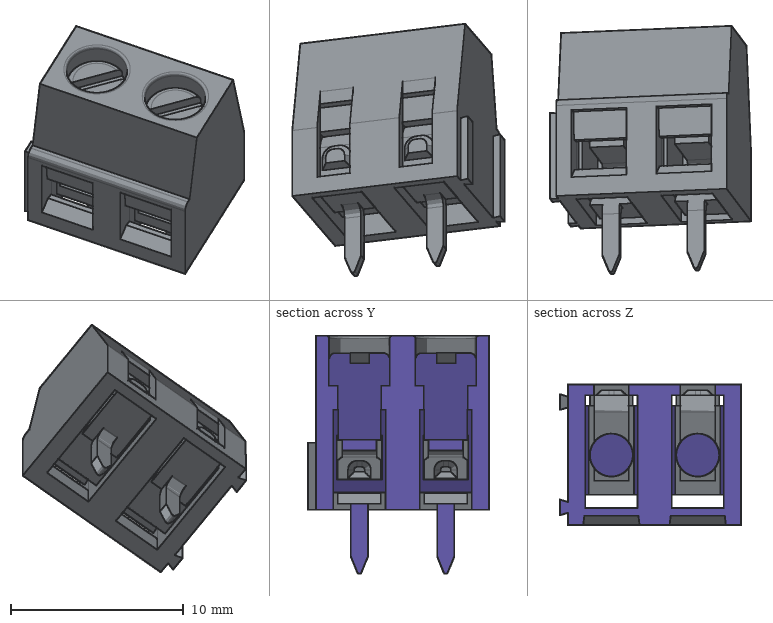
import cadquery as cq
import math


pitch = 5.0
pole_count = 2
end_margin = 0.015
body_length = pitch * pole_count + 2 * end_margin
front_y = -4.05
back_y = 4.09
body_height = 10.1
top_back_y = 2.57
top_front_y = -2.43
back_slope_z = 4.1
shoulder_z = 5.8
shoulder_y = -3.42
shoulder_radius = 0.4
pole_positions = [(index - (pole_count - 1) / 2) * pitch for index in range(pole_count)]

rail_depth = 0.47
rail_outer_width = 0.92
rail_inner_width = 0.64
rail_edge_distance = 1.02
front_rail_height = 5.1
back_rail_height = 3.9

entry_width = 3.25
entry_bottom_z = 1.08
entry_top_z = 5.08
entry_depth = 1.0
sill_z = 1.68
sill_slope_depth = 0.66
lintel_bottom_z = 3.43
lintel_top_depth = 0.44
lintel_bottom_depth = 0.57

strip = 0.6
leg_width = 1.0
leg_front_y = -0.15
leg_back_y = leg_front_y + strip
pin_tip_z = -3.7
leg_taper_z = -2.7
tip_round_height = 0.07
tip_round_half_width = 0.12
leg_bend_z = -0.23
leg_bend_inner = 0.6
arm_bottom_z = leg_bend_z + leg_bend_inner
arm_top_z = arm_bottom_z + strip
plate_back_y = 3.46
plate_front_y = plate_back_y - strip
plate_width = 2.5
tab_width = 2.0
tab_bend_z = 3.08
tab_bend_inner = 0.36
tab_bottom_z = tab_bend_z + tab_bend_inner
tab_top_z = tab_bottom_z + strip
tab_end_y = -1.5
plate_shoulder_slope = 0.8

dimple_arch_z = 2.33
dimple_top_flat = 0.28
dimple_wall_slope = 1.05
dimple_depth = 0.34
dimple_radius = 0.52
dimple_drop = 0.48
dimple_back_height = 0.3
dimple_back_growth = 0.22

cage_width = 3.0
cage_front_y = -2.3
cage_bottom_z = 1.0
cage_top_z = shoulder_z
cage_opening_width = 2.6
cage_floor_z = 1.78
cage_ceiling_z = 4.3

cavity_front_y = front_y + entry_depth
notch_floor_z = cage_bottom_z

head_diameter = 3.5
head_top_z = 9.1
head_bottom_z = 7.2
head_fillet = 0.35
shank_diameter = 2.5
slot_width = 0.75
slot_floor_z = 8.5
slot_angle = 45
bore_rim_radius = 0.17


def box(x_range, y_range, z_range):
    """Axis-aligned box from its limits on each axis."""
    size = [limits[1] - limits[0] for limits in (x_range, y_range, z_range)]
    corner = (x_range[0], y_range[0], z_range[0])
    return cq.Workplane("XY").box(*size, centered=False).translate(corner)


def centered_box(width, y_range, z_range):
    """Box centred on X = 0."""
    return box((-width / 2, width / 2), y_range, z_range)


def side_prism(profile, width):
    """Extrude a closed YZ profile to a width centred on X = 0."""
    return profile.close().extrude(width / 2, both=True)


def cylinder(diameter, z_range):
    """Upright cylinder on the Z axis."""
    height = z_range[1] - z_range[0]
    return cq.Workplane("XY").workplane(offset=z_range[0]).circle(diameter / 2).extrude(height)


def arc_middle(center, radius, degrees):
    """Point at an angle on a circle, used as the middle of an arc."""
    angle = math.radians(degrees)
    return (center[0] + radius * math.cos(angle), center[1] + radius * math.sin(angle))


def make_housing_block():
    profile = (
        cq.Workplane("YZ")
        .moveTo(front_y, 0)
        .lineTo(front_y, shoulder_z - shoulder_radius)
        .radiusArc((front_y + shoulder_radius, shoulder_z), shoulder_radius)
        .lineTo(shoulder_y, shoulder_z)
        .lineTo(top_front_y, body_height)
        .lineTo(top_back_y, body_height)
        .lineTo(back_y, back_slope_z)
        .lineTo(back_y, 0)
    )
    return side_prism(profile, body_length)


def make_rail(center_y, height):
    inner_x = -body_length / 2
    outer_x = inner_x - rail_depth
    outline = [
        (inner_x, center_y - rail_inner_width / 2),
        (outer_x, center_y - rail_outer_width / 2),
        (outer_x, center_y + rail_outer_width / 2),
        (inner_x, center_y + rail_inner_width / 2),
    ]
    return cq.Workplane("XY").polyline(outline).close().extrude(height)


def make_wire_entry():
    """Funnel with a sloped sill, drafted sides and a lintel hanging from its top."""
    side_profile = (
        cq.Workplane("YZ")
        .moveTo(front_y, entry_bottom_z)
        .lineTo(front_y + sill_slope_depth, sill_z)
        .lineTo(cavity_front_y, sill_z)
        .lineTo(cavity_front_y, lintel_bottom_z)
        .lineTo(front_y + lintel_bottom_depth, lintel_bottom_z)
        .lineTo(front_y + lintel_top_depth, entry_top_z)
        .lineTo(front_y, entry_top_z)
    )
    inner_half_width = cage_width / 2
    drafted_sides = (
        cq.Workplane("XY")
        .moveTo(-entry_width / 2, front_y)
        .lineTo(entry_width / 2, front_y)
        .lineTo(inner_half_width, cavity_front_y)
        .lineTo(-inner_half_width, cavity_front_y)
        .close()
        .extrude(body_height)
    )
    return side_prism(side_profile, entry_width).intersect(drafted_sides)


def make_screw_bore():
    """Bore for the screw with a rounded rim."""
    rim_radius = head_diameter / 2 + bore_rim_radius
    rim = cylinder(2 * rim_radius, (body_height - bore_rim_radius, body_height))
    ring_section = (
        cq.Workplane("XZ")
        .center(rim_radius, body_height - bore_rim_radius)
        .circle(bore_rim_radius)
        .revolve(360, (-rim_radius, 0), (-rim_radius, 1))
    )
    head_bore = cylinder(head_diameter, (head_bottom_z, body_height))
    shank_bore = cylinder(shank_diameter, (cage_top_z, head_bottom_z))
    return head_bore.union(rim.cut(ring_section)).union(shank_bore)


def make_housing():
    housing = make_housing_block()
    housing = housing.union(make_rail(front_y + rail_edge_distance, front_rail_height))
    housing = housing.union(make_rail(back_y - rail_edge_distance, back_rail_height))
    cavity = centered_box(cage_width, (cavity_front_y, plate_back_y), (0, cage_top_z))
    notch = centered_box(tab_width, (plate_back_y, back_y), (notch_floor_z, body_height))
    for pole_x in pole_positions:
        for void in (cavity, notch, make_wire_entry(), make_screw_bore()):
            housing = housing.cut(void.translate((pole_x, 0, 0)))
    return housing


def make_screw():
    head = cylinder(head_diameter, (head_bottom_z, head_top_z)).faces(">Z").edges().fillet(head_fillet)
    slot = centered_box(slot_width, (-head_diameter, head_diameter), (slot_floor_z, head_top_z))
    slot = slot.rotate((0, 0, 0), (0, 0, 1), -slot_angle)
    shank = cylinder(shank_diameter, (tab_top_z, head_bottom_z))
    return head.cut(slot).union(shank)


def make_cage():
    y_range = (cage_front_y, plate_front_y)
    block = centered_box(cage_width, y_range, (cage_bottom_z, cage_top_z))
    opening = centered_box(cage_opening_width, y_range, (cage_floor_z, cage_ceiling_z))
    thread_hole = cylinder(shank_diameter, (cage_ceiling_z, cage_top_z))
    return block.cut(opening).cut(thread_hole)


def make_dimple(y, radius, drop, length):
    """Arched frustum with its wide end at y, narrowing toward +Y."""
    half_width = dimple_top_flat / 2 + radius
    top_z = dimple_arch_z + radius
    bottom_z = dimple_arch_z - drop
    outline = (
        cq.Workplane("XZ", origin=(0, y, 0))
        .moveTo(-half_width, bottom_z)
        .lineTo(half_width, bottom_z)
        .lineTo(half_width, dimple_arch_z)
        .radiusArc((dimple_top_flat / 2, top_z), -radius)
        .lineTo(-dimple_top_flat / 2, top_z)
        .radiusArc((-half_width, dimple_arch_z), -radius)
        .close()
    )
    return outline.extrude(-length, taper=math.degrees(math.atan(dimple_wall_slope)))


def make_pin_strip():
    """Side profile of the bent strip: leg, arm under the cage, plate behind it and tab through it."""
    leg_bend_center = (leg_back_y + leg_bend_inner, leg_bend_z)
    tab_bend_center = (plate_front_y - tab_bend_inner, tab_bend_z)
    leg_outer = leg_bend_inner + strip
    tab_outer = tab_bend_inner + strip
    profile = (
        cq.Workplane("YZ")
        .moveTo(leg_front_y, pin_tip_z)
        .lineTo(leg_front_y, leg_bend_z)
        .threePointArc(arc_middle(leg_bend_center, leg_outer, 135), (leg_bend_center[0], arm_top_z))
        .lineTo(plate_front_y, arm_top_z)
        .lineTo(plate_front_y, tab_bend_z)
        .threePointArc(arc_middle(tab_bend_center, tab_bend_inner, 45), (tab_bend_center[0], tab_bottom_z))
        .lineTo(tab_end_y, tab_bottom_z)
        .lineTo(tab_end_y, tab_top_z)
        .lineTo(tab_bend_center[0], tab_top_z)
        .threePointArc(arc_middle(tab_bend_center, tab_outer, 45), (plate_back_y, tab_bend_z))
        .lineTo(plate_back_y, arm_bottom_z)
        .lineTo(leg_bend_center[0], arm_bottom_z)
        .threePointArc(arc_middle(leg_bend_center, leg_bend_inner, 135), (leg_back_y, leg_bend_z))
        .lineTo(leg_back_y, pin_tip_z)
    )
    return side_prism(profile, plate_width)


def make_pin_outline():
    """Front outline that gives the strip its widths: pointed leg, wide plate and narrower tab."""
    shoulder_low_z = tab_bend_z - plate_shoulder_slope * (plate_width - tab_width) / 2
    tip_end_z = pin_tip_z + tip_round_height
    return (
        cq.Workplane("XZ", origin=(0, back_y, 0))
        .moveTo(tip_round_half_width, tip_end_z)
        .lineTo(leg_width / 2, leg_taper_z)
        .lineTo(leg_width / 2, arm_bottom_z)
        .lineTo(plate_width / 2, arm_bottom_z)
        .lineTo(plate_width / 2, shoulder_low_z)
        .lineTo(tab_width / 2, tab_bend_z)
        .lineTo(tab_width / 2, tab_top_z)
        .lineTo(-tab_width / 2, tab_top_z)
        .lineTo(-tab_width / 2, tab_bend_z)
        .lineTo(-plate_width / 2, shoulder_low_z)
        .lineTo(-plate_width / 2, arm_bottom_z)
        .lineTo(-leg_width / 2, arm_bottom_z)
        .lineTo(-leg_width / 2, leg_taper_z)
        .lineTo(-tip_round_half_width, tip_end_z)
        .threePointArc((0, pin_tip_z), (tip_round_half_width, tip_end_z))
        .close()
        .extrude(back_y - front_y)
    )


def make_pin():
    pin = make_pin_strip().intersect(make_pin_outline())
    boss = make_dimple(
        plate_back_y,
        dimple_radius + dimple_back_growth,
        dimple_drop + dimple_back_growth,
        dimple_back_height,
    )
    hollow = make_dimple(plate_front_y, dimple_radius, dimple_drop, dimple_depth)
    return pin.union(boss).cut(hollow)


housing = make_housing()
pole_bodies = []
for pole_x in pole_positions:
    for body in (make_screw(), make_cage(), make_pin()):
        pole_bodies.append(body.translate((pole_x, 0, 0)).val())

result = cq.Compound.makeCompound([housing.val(), *pole_bodies])